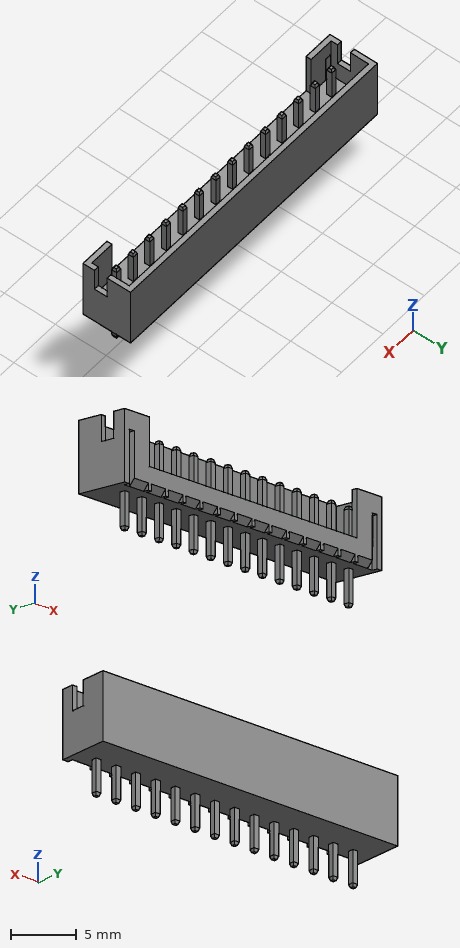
import cadquery as cq


pin_count = 14
pitch = 2.0
pin_side = 0.5
pin_tip_height = 0.27
pin_tip_inset = 0.1
pin_top_below_rim = 0.9

body_length = 29.86
body_depth = 4.67
total_height = 8.94
pin_tail = 3.05
body_height = total_height - pin_tail

front_to_pins = 1.7
long_wall = 0.5
end_wall = 0.47
floor_height = 1.92

window_margin = 2.9
end_notch_width = 1.25
end_notch_depth = 2.17
end_notch_y = 0.05
slot_width = 0.55
slot_top = 4.35

rib_width = 0.35
recess_height = 0.57
recess_depth = 0.48

recess_width = pitch - rib_width
front_y = -front_to_pins
back_y = front_y + body_depth
end_x = body_length / 2
pin_xs = [(i - (pin_count - 1) / 2) * pitch for i in range(pin_count)]


def box(x_range, y_range, z_range):
    """Axis-aligned block between the given limits."""
    size = [high - low for low, high in (x_range, y_range, z_range)]
    corner = (x_range[0], y_range[0], z_range[0])
    return cq.Workplane("XY").box(*size, centered=False).translate(corner)


def make_shell():
    """Open-topped housing with a solid base."""
    body = box((-end_x, end_x), (front_y, back_y), (0, body_height))
    cavity = box(
        (-end_x + end_wall, end_x - end_wall),
        (front_y + long_wall, back_y - long_wall),
        (floor_height, body_height),
    )
    return body.cut(cavity)


def front_window():
    """Wide opening in the front wall, down to the cavity floor."""
    half_width = end_x - window_margin
    return box((-half_width, half_width), (front_y, front_y + long_wall), (floor_height, body_height))


def end_notches():
    """Notches in both end walls, around the pin row."""
    low_y = end_notch_y - end_notch_width / 2
    high_y = end_notch_y + end_notch_width / 2
    return box((-end_x, end_x), (low_y, high_y), (body_height - end_notch_depth, body_height))


def front_slot(side):
    """Narrow upright slot through the front wall beside an end recess; side is -1 or 1."""
    inner_x = side * (pin_xs[-1] + recess_width / 2)
    outer_x = inner_x + side * slot_width
    return box(sorted((inner_x, outer_x)), (front_y, front_y + long_wall), (0, slot_top))


def bevel_recess(pin_x):
    """Triangular recess under the front edge, centred on one pin."""
    return (
        cq.Workplane("YZ")
        .polyline([(front_y, 0), (front_y + recess_depth, 0), (front_y, recess_height)])
        .close()
        .extrude(recess_width)
        .translate((pin_x - recess_width / 2, 0, 0))
    )


def make_pin(pin_x):
    """Square pin with a tapered tip at each end."""
    pin_length = body_height - pin_top_below_rim + pin_tail
    return (
        cq.Workplane("XY")
        .box(pin_side, pin_side, pin_length, centered=(True, True, False))
        .faces("<Z or >Z")
        .chamfer(pin_tip_height, pin_tip_inset)
        .translate((pin_x, 0, -pin_tail))
    )


result = make_shell().cut(front_window()).cut(end_notches())
for side in (-1, 1):
    result = result.cut(front_slot(side))
for pin_x in pin_xs:
    result = result.cut(bevel_recess(pin_x))
for pin_x in pin_xs:
    result = result.union(make_pin(pin_x))